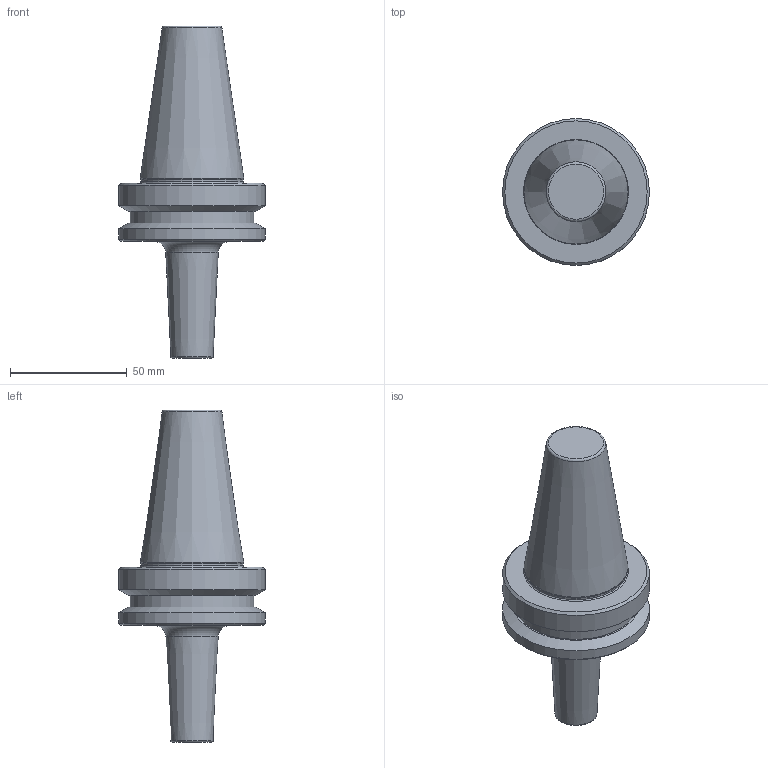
import cadquery as cq
import math

GAUGE_RADIUS = 44.45 / 2
TAPER_SLOPE = 7 / 48
SHANK_LENGTH = 65.4
SHANK_TIP_FILLET_RADIUS = 1.0

NECK_RADIUS = 22.0
NECK_TOP_Z = -0.65
NECK_FILLET_RADIUS = 0.5

FLANGE_RADIUS = 63.0 / 2
FLANGE_TOP_Z = -2.0
FLANGE_BOTTOM_Z = -27.0
FLANGE_CHAMFER = 1.0

GROOVE_CENTRE_Z = -16.6
GROOVE_WIDTH = 10.0
GROOVE_ROOT_WIDTH = 5.0
GROOVE_ROOT_RADIUS = 53.0 / 2
GROOVE_WALL_ANGLE = 30.0

NOSE_END_Z = -77.0
NOSE_END_RADIUS = 18.0 / 2
NOSE_ROOT_RADIUS = 23.0 / 2
NOSE_TIP_FILLET_RADIUS = 0.5
NOSE_ROOT_FILLET_RADIUS = 5.0


def revolve_outline(outline):
    """Close an outline of (radius, z) points and revolve it around the Z axis."""
    return outline.close().revolve(360, (0, 0, 0), (0, 1, 0))


def make_shank():
    """Steep taper with a rounded tip, stepping in below the gauge plane to a filleted neck."""
    tip_radius = GAUGE_RADIUS - SHANK_LENGTH * TAPER_SLOPE
    fillet_centre_radius = NECK_RADIUS + NECK_FILLET_RADIUS
    fillet_centre_z = FLANGE_TOP_Z + NECK_FILLET_RADIUS
    fillet_offset = NECK_FILLET_RADIUS * math.sqrt(0.5)
    fillet_middle = (fillet_centre_radius - fillet_offset, fillet_centre_z - fillet_offset)
    shank = (
        cq.Workplane("XZ")
        .moveTo(0, FLANGE_TOP_Z)
        .lineTo(fillet_centre_radius, FLANGE_TOP_Z)
        .threePointArc(fillet_middle, (NECK_RADIUS, fillet_centre_z))
        .lineTo(NECK_RADIUS, NECK_TOP_Z)
        .lineTo(GAUGE_RADIUS, 0)
        .lineTo(tip_radius, SHANK_LENGTH)
        .lineTo(0, SHANK_LENGTH)
    )
    return revolve_outline(shank).faces(">Z").edges().fillet(SHANK_TIP_FILLET_RADIUS)


def make_flange():
    """Round flange, chamfered on both rims."""
    height = FLANGE_TOP_Z - FLANGE_BOTTOM_Z
    disc = cq.Workplane("XY").workplane(offset=FLANGE_BOTTOM_Z).circle(FLANGE_RADIUS).extrude(height)
    return disc.edges().chamfer(FLANGE_CHAMFER)


def make_gripper_groove():
    """Ring to cut from the flange: two sloping walls leading into a square root slot."""
    mouth_half = GROOVE_WIDTH / 2
    root_half = GROOVE_ROOT_WIDTH / 2
    wall_depth = (mouth_half - root_half) / math.tan(math.radians(GROOVE_WALL_ANGLE))
    wall_foot_radius = FLANGE_RADIUS - wall_depth
    ring = cq.Workplane("XZ").polyline([
        (GROOVE_ROOT_RADIUS, GROOVE_CENTRE_Z - root_half),
        (wall_foot_radius, GROOVE_CENTRE_Z - root_half),
        (FLANGE_RADIUS, GROOVE_CENTRE_Z - mouth_half),
        (FLANGE_RADIUS, GROOVE_CENTRE_Z + mouth_half),
        (wall_foot_radius, GROOVE_CENTRE_Z + root_half),
        (GROOVE_ROOT_RADIUS, GROOVE_CENTRE_Z + root_half),
    ])
    return revolve_outline(ring)


def make_nose():
    """Cone with a rounded tip, widening upward into a fillet tangent to the cone and the flange."""
    slope = (NOSE_ROOT_RADIUS - NOSE_END_RADIUS) / (FLANGE_BOTTOM_Z - NOSE_END_Z)
    half_angle = math.atan(slope)

    def cone_radius(z):
        return NOSE_END_RADIUS + (z - NOSE_END_Z) * slope

    centre_z = FLANGE_BOTTOM_Z - NOSE_ROOT_FILLET_RADIUS
    centre_radius = cone_radius(centre_z) + NOSE_ROOT_FILLET_RADIUS / math.cos(half_angle)

    def fillet_point(angle):
        radius = centre_radius - NOSE_ROOT_FILLET_RADIUS * math.cos(angle)
        return radius, centre_z + NOSE_ROOT_FILLET_RADIUS * math.sin(angle)

    start_angle = half_angle
    end_angle = math.pi / 2
    cone_end = fillet_point(start_angle)
    fillet_middle = fillet_point((start_angle + end_angle) / 2)
    flange_end = fillet_point(end_angle)

    nose = (
        cq.Workplane("XZ")
        .moveTo(0, NOSE_END_Z)
        .lineTo(NOSE_END_RADIUS, NOSE_END_Z)
        .lineTo(*cone_end)
        .threePointArc(fillet_middle, flange_end)
        .lineTo(0, FLANGE_BOTTOM_Z)
    )
    return revolve_outline(nose).faces("<Z").edges().fillet(NOSE_TIP_FILLET_RADIUS)


flange = make_flange().cut(make_gripper_groove())
result = flange.union(make_shank()).union(make_nose())